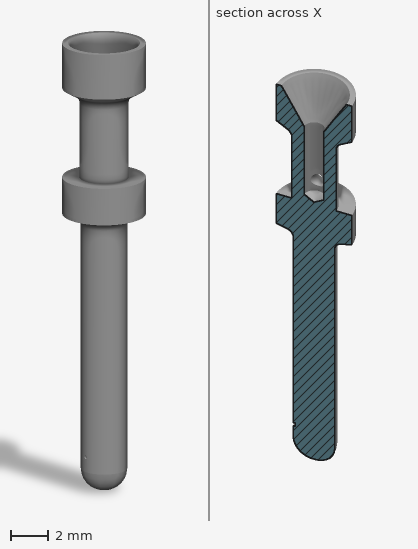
import cadquery as cq
import math

total_height = 25.0
rim_bottom = 22.5
flange_top = 17.5
flange_bottom = 15.45

collar_radius = 2.25
neck_radius = 1.32
pin_radius = 1.25
tip_round = 1.18

rim_slope = 30.0
rim_fillet = 0.5
flange_slope = 15.0
flange_fillet = 0.4

funnel_radius = 1.92
bore_radius = 0.58
funnel_half_angle = 30.0
bore_bottom = 18.0
drill_half_angle = 59.0

sight_hole_diameter = 0.8
sight_hole_height = 18.75
mark_diameter = 0.2
mark_depth = 0.12
mark_height = 2.0


def undercut_arc(shaft_radius, collar_bottom, slope, fillet):
    """Return start, middle and end of the fillet between a sloped collar underside and a shaft."""
    angle = math.radians(slope)
    corner = collar_bottom - (collar_radius - shaft_radius) * math.tan(angle)
    center_r = shaft_radius + fillet
    center_z = corner - fillet * math.tan(math.pi / 4 - angle / 2)

    def on_arc(direction):
        return (center_r + fillet * math.cos(direction), center_z + fillet * math.sin(direction))

    slope_end = math.pi / 2 + angle
    return on_arc(slope_end), on_arc((slope_end + math.pi) / 2), on_arc(math.pi)


def turned_body():
    rim_start, rim_mid, rim_end = undercut_arc(neck_radius, rim_bottom, rim_slope, rim_fillet)
    flange_start, flange_mid, flange_end = undercut_arc(
        pin_radius, flange_bottom, flange_slope, flange_fillet
    )
    tip_flat = pin_radius - tip_round
    tip_mid = (
        tip_flat + tip_round * math.sin(math.pi / 4),
        tip_round * (1 - math.cos(math.pi / 4)),
    )
    return (
        cq.Workplane("XZ")
        .moveTo(0, total_height)
        .lineTo(collar_radius, total_height)
        .lineTo(collar_radius, rim_bottom)
        .lineTo(*rim_start)
        .threePointArc(rim_mid, rim_end)
        .lineTo(neck_radius, flange_top)
        .lineTo(collar_radius, flange_top)
        .lineTo(collar_radius, flange_bottom)
        .lineTo(*flange_start)
        .threePointArc(flange_mid, flange_end)
        .lineTo(pin_radius, tip_round)
        .threePointArc(tip_mid, (tip_flat, 0))
        .lineTo(0, 0)
        .close()
        .revolve(360, (0, 0, 0), (0, 1, 0))
    )


def wire_socket():
    """Funnel entry, straight bore and conical drill point."""
    funnel_depth = (funnel_radius - bore_radius) / math.tan(math.radians(funnel_half_angle))
    point_depth = bore_radius / math.tan(math.radians(drill_half_angle))
    return (
        cq.Workplane("XZ")
        .moveTo(0, total_height)
        .lineTo(funnel_radius, total_height)
        .lineTo(bore_radius, total_height - funnel_depth)
        .lineTo(bore_radius, bore_bottom)
        .lineTo(0, bore_bottom - point_depth)
        .close()
        .revolve(360, (0, 0, 0), (0, 1, 0))
    )


def sight_hole():
    """Hole through the -X wall of the neck, ending inside the bore."""
    return (
        cq.Workplane("YZ", origin=(0, 0, sight_hole_height))
        .circle(sight_hole_diameter / 2)
        .extrude(-collar_radius)
    )


def tip_mark():
    """Tiny blind hole in the -Y side of the pin."""
    return (
        cq.Workplane("XZ", origin=(0, mark_depth - pin_radius, mark_height))
        .circle(mark_diameter / 2)
        .extrude(pin_radius)
    )


result = turned_body().cut(wire_socket()).cut(sight_hole()).cut(tip_mark())